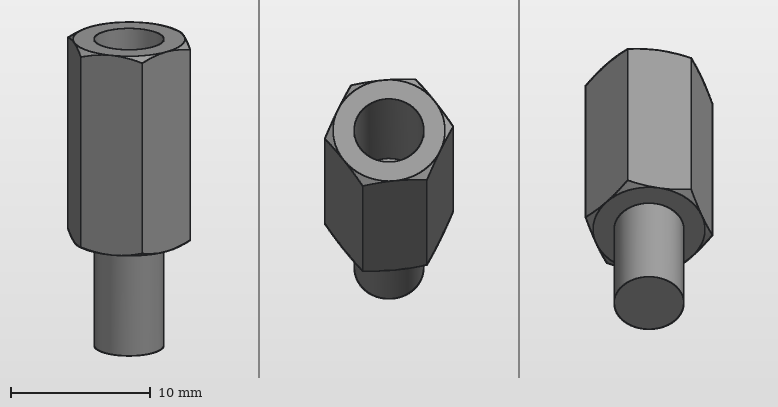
import cadquery as cq
import math

TOTAL_LENGTH = 23.0
STUD_PROJECTION = 8.0
ACROSS_FLATS = 8.0
HEX_SIDES = 6
BORE_DIAMETER = 5.0
CHAMFER_ANGLE = 30.0

BORE_OPEN_DEPTH = 10.0

SLEEVE_LENGTH = TOTAL_LENGTH - STUD_PROJECTION
STUD_LENGTH = TOTAL_LENGTH - BORE_OPEN_DEPTH
FLAT_RADIUS = ACROSS_FLATS / 2
CORNER_RADIUS = FLAT_RADIUS / math.cos(math.pi / HEX_SIDES)
CHAMFER_HEIGHT = (CORNER_RADIUS - FLAT_RADIUS) * math.tan(math.radians(CHAMFER_ANGLE))


def make_chamfer_envelope():
    """Cylinder through the hexagon corners, coned at both ends down to the flats."""
    bottom = STUD_PROJECTION
    top = TOTAL_LENGTH
    return (
        cq.Workplane("XZ")
        .moveTo(0, bottom)
        .lineTo(FLAT_RADIUS, bottom)
        .lineTo(CORNER_RADIUS, bottom + CHAMFER_HEIGHT)
        .lineTo(CORNER_RADIUS, top - CHAMFER_HEIGHT)
        .lineTo(FLAT_RADIUS, top)
        .lineTo(0, top)
        .close()
        .revolve(360, (0, 0, 0), (0, 1, 0))
    )


def make_hex_sleeve():
    """Hexagonal sleeve with corners on the Y axis, chamfered ends and a through bore."""
    hexagon = (
        cq.Workplane("XY", origin=(0, 0, STUD_PROJECTION))
        .transformed(rotate=(0, 0, 90))
        .polygon(HEX_SIDES, 2 * CORNER_RADIUS)
        .extrude(SLEEVE_LENGTH)
    )
    chamfered = hexagon.intersect(make_chamfer_envelope())
    return chamfered.faces(">Z").workplane(origin=(0, 0, 0)).hole(BORE_DIAMETER)


def make_stud():
    """Plain round stud seated in the lower part of the bore."""
    return cq.Workplane("XY").circle(BORE_DIAMETER / 2).extrude(STUD_LENGTH)


hex_sleeve = make_hex_sleeve()
stud = make_stud()

result = cq.Compound.makeCompound([hex_sleeve.val(), stud.val()])